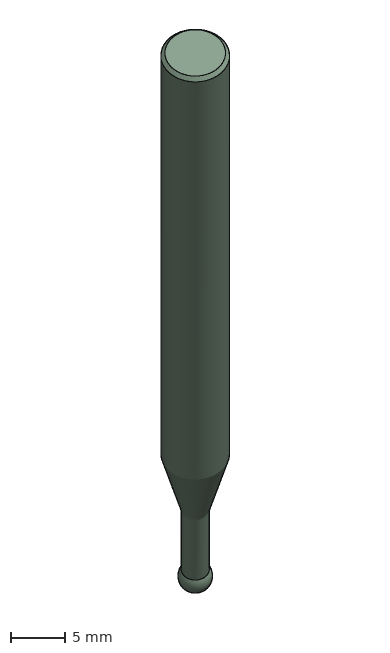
import cadquery as cq
import math

total_length = 76.2
shank_radius = 6.3 / 2
neck_radius = 2.6 / 2
ball_radius = 3.2 / 2

taper_bottom_radius = 2.7 / 2
neck_top = 11.05
taper_bottom = 11.3
taper_top = 19.05

chamfer = 0.4

ball_top = ball_radius + math.sqrt(ball_radius**2 - neck_radius**2)


def make_ball():
    """Ball tip: a sphere with a flat seat for the end of the neck."""
    return (
        cq.Workplane("XZ")
        .moveTo(0, 0)
        .threePointArc((ball_radius, ball_radius), (neck_radius, ball_top))
        .lineTo(0, ball_top)
        .close()
        .revolve(360, (0, 0), (0, 1))
    )


def make_shank():
    """Turned shank: neck, bevel, taper and main cylinder with a chamfered rear end."""
    profile = [
        (0, ball_top),
        (neck_radius, ball_top),
        (neck_radius, neck_top),
        (taper_bottom_radius, taper_bottom),
        (shank_radius, taper_top),
        (shank_radius, total_length - chamfer),
        (shank_radius - chamfer, total_length),
        (0, total_length),
    ]
    return cq.Workplane("XZ").polyline(profile).close().revolve(360, (0, 0), (0, 1))


ball = make_ball()
shank = make_shank()

result = cq.Compound.makeCompound([ball.val(), shank.val()])